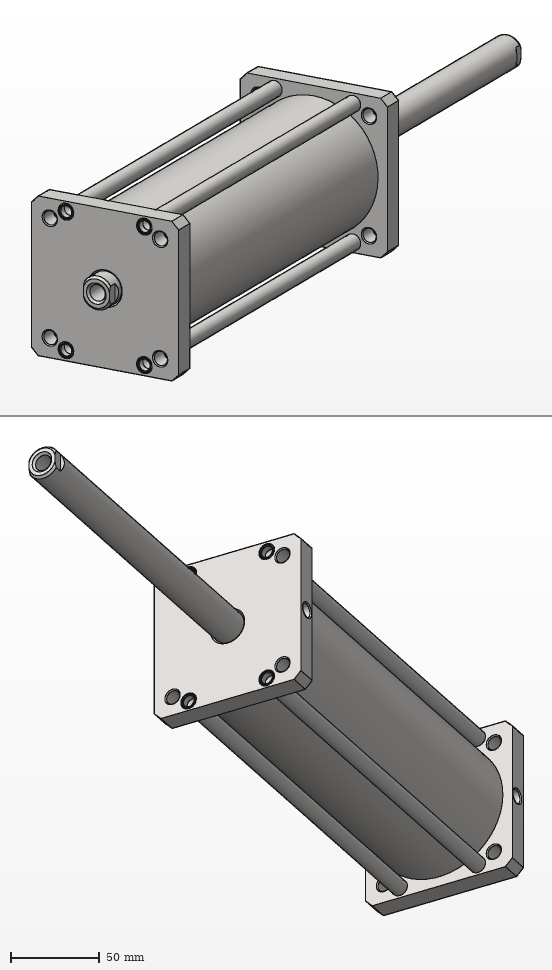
import cadquery as cq

overall_length = 474.0

plate_side = 96.0
plate_thickness = 13.0
plate_corner_chamfer = 4.5

tube_length = 227.5
tube_outer_diameter = 84.0
tube_inner_diameter = 80.0

rod_diameter = 20.5
rod_front_reach = 10.0
rod_end_chamfer = 1.5
rod_bore_chamfer = 1.05

flat_spacing = 17.0
flat_length = 6.0

rod_hole_diameter = 10.0
rod_hole_depth = 19.0
rod_hole_chamfer = 1.5
rod_hole_point = 1.0

tie_rod_diameter = 10.0
tie_rod_x = 25.5
tie_rod_z = 41.5
tie_rod_end_chamfer = 0.7

tie_hole_diameter = 7.0
tie_hole_depth = 4.7
tie_hole_chamfer = 0.5
tie_hole_point = 2.0

mount_hole_diameter = 8.5
mount_hole_offset = 36.0
mount_hole_chamfer = 0.7

port_diameter = 8.5
port_chamfer = 0.7
port_from_tube = 5.5

port_depth = plate_side / 2
tube_start = plate_thickness
tube_end = tube_start + tube_length
body_length = tube_end + plate_thickness
rod_start = -rod_front_reach
rod_end = rod_start + overall_length

SIGNS = (-1, 1)
ALONG_X = cq.Vector(1, 0, 0)
ALONG_Y = cq.Vector(0, 1, 0)
AGAINST_Y = cq.Vector(0, -1, 0)


def cylinder_along_y(diameter, start, end, x=0, z=0):
    """Cylinder parallel to Y between two Y positions."""
    base = cq.Vector(x, start, z)
    return cq.Workplane(cq.Solid.makeCylinder(diameter / 2, end - start, base, ALONG_Y))


def chamfered_bar(diameter, start, end, chamfer, x=0, z=0):
    """Round bar parallel to Y with both ends chamfered."""
    bar = cylinder_along_y(diameter, start, end, x, z)
    return bar.faces("<Y or >Y").chamfer(chamfer)


def chamfered_hole(diameter, depth, chamfer, mouth, inward):
    """Cutter for a hole that starts at the point mouth, with a 45 degree chamfer there."""
    radius = diameter / 2
    hole = cq.Workplane(cq.Solid.makeCylinder(radius, depth, mouth, inward))
    return hole.union(cq.Workplane(cq.Solid.makeCone(radius + chamfer, radius, chamfer, mouth, inward)))


def drilled_hole(diameter, depth, chamfer, point, mouth, inward):
    """Cutter for a chamfered blind hole with a conical bottom."""
    hole = chamfered_hole(diameter, depth, chamfer, mouth, inward)
    tip = cq.Solid.makeCone(diameter / 2, 0, point, mouth + inward * depth, inward)
    return hole.union(cq.Workplane(tip))


def through_hole(diameter, chamfer, start, x=0, z=0):
    """Cutter for a hole through a plate, chamfered at both faces."""
    front_mouth = cq.Vector(x, start, z)
    rear_mouth = cq.Vector(x, start + plate_thickness, z)
    hole = chamfered_hole(diameter, plate_thickness, chamfer, front_mouth, ALONG_Y)
    return hole.union(chamfered_hole(diameter, plate_thickness, chamfer, rear_mouth, AGAINST_Y))


def make_plate(start, port_y):
    """Square end plate with its front face at Y = start and a side port at port_y."""
    end = start + plate_thickness
    plate = cq.Workplane("XY").box(plate_side, plate_thickness, plate_side)
    plate = plate.edges("|Y").chamfer(plate_corner_chamfer)
    plate = plate.translate((0, (start + end) / 2, 0))

    plate = plate.cut(through_hole(rod_diameter, rod_bore_chamfer, start))
    for side_x in SIGNS:
        for side_z in SIGNS:
            mount_x = side_x * mount_hole_offset
            mount_z = side_z * mount_hole_offset
            plate = plate.cut(through_hole(mount_hole_diameter, mount_hole_chamfer, start, mount_x, mount_z))
            tie_x = side_x * tie_rod_x
            tie_z = side_z * tie_rod_z
            plate = plate.cut(cylinder_along_y(tie_rod_diameter, start, end, tie_x, tie_z))

    port_mouth = cq.Vector(-plate_side / 2, port_y, 0)
    return plate.cut(chamfered_hole(port_diameter, port_depth, port_chamfer, port_mouth, ALONG_X))


def make_tube():
    """Thin cylinder barrel clamped between the plates."""
    outside = cylinder_along_y(tube_outer_diameter, tube_start, tube_end)
    return outside.cut(cylinder_along_y(tube_inner_diameter, tube_start, tube_end))


def make_tie_rod(x, z):
    """Tie rod flush with both plates, with a drilled hole in each end."""
    tie_rod = chamfered_bar(tie_rod_diameter, 0, body_length, tie_rod_end_chamfer, x, z)
    for tip, inward in ((0, ALONG_Y), (body_length, AGAINST_Y)):
        mouth = cq.Vector(x, tip, z)
        tie_rod = tie_rod.cut(
            drilled_hole(tie_hole_diameter, tie_hole_depth, tie_hole_chamfer, tie_hole_point, mouth, inward))
    return tie_rod


def flat_cutter(tip, inward, side):
    """Cutter for one wrench flat that runs out to the rod surface at 45 degrees."""
    flat_x = flat_spacing / 2
    outer_x = rod_diameter / 2
    flat_end = tip + inward * flat_length
    ramp_end = flat_end + inward * (outer_x - flat_x)
    outline = [
        (side * flat_x, tip),
        (side * flat_x, flat_end),
        (side * outer_x, ramp_end),
        (side * outer_x, tip),
    ]
    return cq.Workplane("XY").polyline(outline).close().extrude(rod_diameter, both=True)


def make_piston_rod():
    """Rod through both plates, with two wrench flats and a drilled hole at each tip."""
    rod = chamfered_bar(rod_diameter, rod_start, rod_end, rod_end_chamfer)
    for tip, inward in ((rod_start, ALONG_Y), (rod_end, AGAINST_Y)):
        for side in SIGNS:
            rod = rod.cut(flat_cutter(tip, inward.y, side))
        mouth = cq.Vector(0, tip, 0)
        rod = rod.cut(
            drilled_hole(rod_hole_diameter, rod_hole_depth, rod_hole_chamfer, rod_hole_point, mouth, inward))
    return rod


front_plate = make_plate(0, tube_start - port_from_tube)
rear_plate = make_plate(tube_end, tube_end + port_from_tube)
tube = make_tube()
piston_rod = make_piston_rod()
tie_rods = []
for side_x in SIGNS:
    for side_z in SIGNS:
        tie_rods.append(make_tie_rod(side_x * tie_rod_x, side_z * tie_rod_z))

result = cq.Compound.makeCompound([
    front_plate.solids().val(),
    rear_plate.solids().val(),
    tube.solids().val(),
    piston_rod.solids().val(),
    *[tie_rod.solids().val() for tie_rod in tie_rods],
])